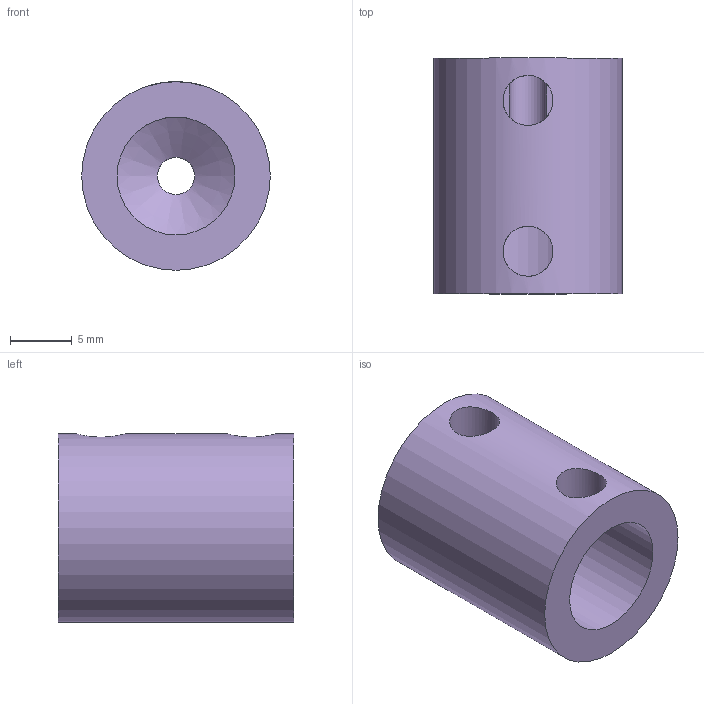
import cadquery as cq
import math

BODY_DIAMETER = 15.24
BODY_LENGTH = 19.05

SOCKET_DIAMETER = 9.525
SOCKET_DEPTH = BODY_LENGTH / 2
DRILL_POINT_ANGLE = 118.0
NARROW_BORE_DIAMETER = 3.0

SCREW_HOLE_DIAMETER = 4.04
SCREW_HOLE_END_DISTANCE = 3.43

FRONT_Y = -BODY_LENGTH / 2
BACK_Y = BODY_LENGTH / 2


def sleeve_body():
    """Revolve the wall section, leaving the stepped bore open end to end."""
    body_radius = BODY_DIAMETER / 2
    socket_radius = SOCKET_DIAMETER / 2
    narrow_radius = NARROW_BORE_DIAMETER / 2
    half_point_angle = math.radians(DRILL_POINT_ANGLE / 2)
    cone_length = (socket_radius - narrow_radius) / math.tan(half_point_angle)
    socket_end_y = FRONT_Y + SOCKET_DEPTH

    wall_section = [
        (socket_radius, FRONT_Y),
        (body_radius, FRONT_Y),
        (body_radius, BACK_Y),
        (narrow_radius, BACK_Y),
        (narrow_radius, socket_end_y + cone_length),
        (socket_radius, socket_end_y),
    ]
    return (
        cq.Workplane("XY")
        .polyline(wall_section)
        .close()
        .revolve(360, (0, 0, 0), (0, 1, 0))
    )


def screw_holes():
    """Vertical cutters, one near each end, reaching from the axis to the outer surface."""
    centres = [
        (0, FRONT_Y + SCREW_HOLE_END_DISTANCE),
        (0, BACK_Y - SCREW_HOLE_END_DISTANCE),
    ]
    return (
        cq.Workplane("XY")
        .pushPoints(centres)
        .circle(SCREW_HOLE_DIAMETER / 2)
        .extrude(BODY_DIAMETER / 2)
    )


result = sleeve_body().cut(screw_holes())